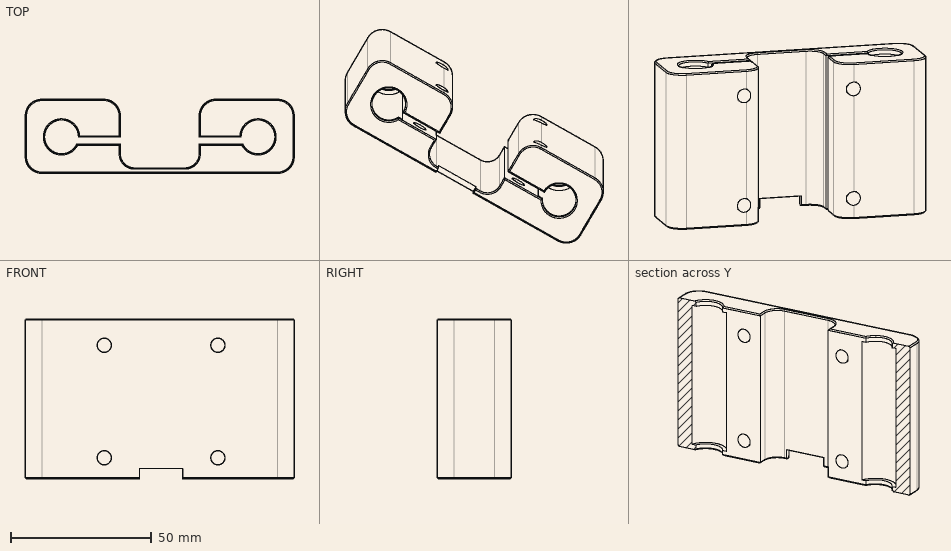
import cadquery as cq

length = 96.0
depth = 26.5
height = 57.0

corner_radius = 6.0
block_length = 34.0
web_thickness = 2.0
pocket_radius = 5.0
edge_chamfer = 0.5

bore_diameter = 12.0
bearing_diameter = 15.0
lip_height = 2.0
bore_inset = 13.0
bore_center_y = 13.1
slit_floor_y = 10.5
slit_width = 2.5

pattern_offset_x = 0.5
screw_diameter = 5.0
screw_spacing_x = 40.5
screw_spacing_z = 40.1
lower_screw_z = 7.5

notch_width = 15.4
notch_height = 3.6

gap_width = length - 2 * block_length
block_mid_x = (length - block_length) / 2
bore_offset_x = length / 2 - bore_inset


def make_body():
    """Bar with rounded vertical corners, open at the back between the two clamp blocks."""
    body = (
        cq.Workplane("XY")
        .rect(length, depth)
        .extrude(height)
        .translate((0, depth / 2, 0))
        .edges("|Z")
        .fillet(corner_radius)
    )
    pocket = (
        cq.Workplane("XY")
        .rect(gap_width, depth)
        .extrude(height)
        .translate((0, web_thickness + depth / 2, 0))
        .edges("|Z and <Y")
        .fillet(pocket_radius)
    )
    body = body.cut(pocket)
    gap_corner_zone = cq.selectors.BoxSelector(
        (-block_mid_x, depth - corner_radius, 0),
        (block_mid_x, depth + corner_radius, height),
    )
    return body.edges("|Z").edges(gap_corner_zone).fillet(corner_radius)


def cut_clamps(body):
    """Bore each block, widen the bore between its end lips and slit it through to the gap."""
    for side in (-1, 1):
        bore = (
            cq.Workplane("XY")
            .center(side * bore_offset_x, bore_center_y)
            .circle(bore_diameter / 2)
            .extrude(height)
        )
        bearing_seat = (
            cq.Workplane("XY", origin=(0, 0, lip_height))
            .center(side * bore_offset_x, bore_center_y)
            .circle(bearing_diameter / 2)
            .extrude(height - 2 * lip_height)
        )
        slit = (
            cq.Workplane("XY")
            .center(side * bore_offset_x / 2, slit_floor_y + slit_width / 2)
            .rect(bore_offset_x, slit_width)
            .extrude(height)
        )
        body = body.cut(bore).cut(bearing_seat).cut(slit)
    return body


def cut_screw_holes(body):
    """Drill the rectangular pattern of screw holes through the full depth."""
    holes = (
        cq.Workplane("XZ", origin=(pattern_offset_x, 0, lower_screw_z + screw_spacing_z / 2))
        .rarray(screw_spacing_x, screw_spacing_z, 2, 2)
        .circle(screw_diameter / 2)
        .extrude(-depth)
    )
    return body.cut(holes)


def cut_notch(body):
    """Cut a rectangular notch through the web at its bottom edge."""
    notch = (
        cq.Workplane("XY")
        .center(pattern_offset_x, web_thickness / 2)
        .rect(notch_width, web_thickness)
        .extrude(notch_height)
    )
    return body.cut(notch)


body = cut_clamps(make_body())
body = body.faces("<Z or >Z").chamfer(edge_chamfer)
result = cut_notch(cut_screw_holes(body))